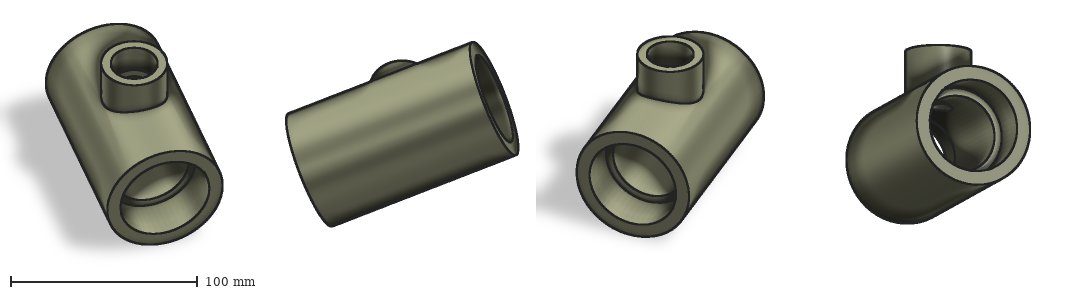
import cadquery as cq

run_length = 107.5
run_outer_diameter = 65.0
run_socket_diameter = 50.0
run_bore_diameter = 41.7
run_socket_depth = 23.5

overall_height = 83.5
branch_top = overall_height - run_outer_diameter / 2
branch_outer_diameter = 35.5
branch_socket_diameter = 25.0
branch_bore_diameter = 15.2
branch_socket_depth = 16.0


def run_cylinder(diameter, start_x, length):
    """Cylinder on the run axis, extending toward +X from start_x."""
    return cq.Workplane("YZ").workplane(offset=start_x).circle(diameter / 2).extrude(length)


def branch_cylinder(diameter, bottom_z):
    """Cylinder on the branch axis, from bottom_z up to the branch mouth."""
    return cq.Workplane("XY").workplane(offset=bottom_z).circle(diameter / 2).extrude(branch_top - bottom_z)


run_start = -run_length / 2
body = run_cylinder(run_outer_diameter, run_start, run_length)
body = body.union(branch_cylinder(branch_outer_diameter, 0))

body = body.cut(run_cylinder(run_bore_diameter, run_start, run_length))
for socket_start in (run_start, run_length / 2 - run_socket_depth):
    body = body.cut(run_cylinder(run_socket_diameter, socket_start, run_socket_depth))

body = body.cut(branch_cylinder(branch_bore_diameter, 0))
body = body.cut(branch_cylinder(branch_socket_diameter, branch_top - branch_socket_depth))

result = body